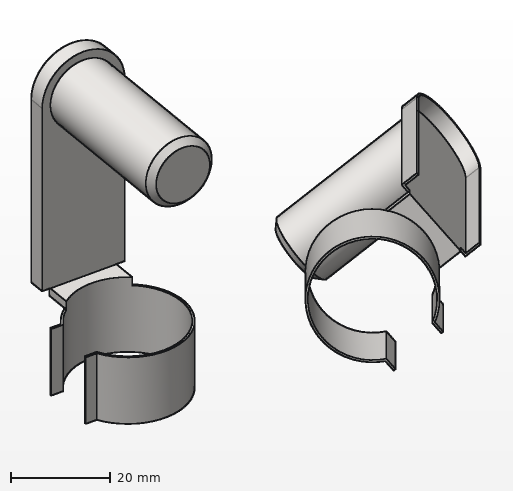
import cadquery as cq
import math

SHEET = 0.5

PLATE_WIDTH = 20.0
PLATE_DEPTH = 4.0
PLATE_DROP = 44.0
PLATE_RADIUS = PLATE_WIDTH / 2
WEB_X = PLATE_DEPTH - SHEET

PIN_DIAMETER = 16.0
PIN_TIP_X = 40.0
PIN_CHAMFER = 1.5

TAB_WIDTH = 16.0
TAB_HEIGHT = 2.0

CLIP_X = 20.0
CLIP_HEIGHT = 16.0
CLIP_RADIUS = 13.5
CLIP_INNER_RADIUS = CLIP_RADIUS - SHEET
CLIP_GAP = 12.0
CLIP_LEG_END_Y = -14.45

CLIP_TOP_Z = -PLATE_DROP - TAB_HEIGHT
CLIP_BOTTOM_Z = CLIP_TOP_Z - CLIP_HEIGHT


def round_topped_slab(radius, depth):
    """Slab with a semicircular top, extruded from X = 0 toward +X."""
    return (
        cq.Workplane("YZ")
        .moveTo(-radius, -PLATE_DROP)
        .lineTo(radius, -PLATE_DROP)
        .lineTo(radius, 0)
        .threePointArc((0, radius), (-radius, 0))
        .close()
        .extrude(depth)
    )


def make_plate():
    """Tray with a thin rim around its sides and top and a thin web as its floor."""
    outside = round_topped_slab(PLATE_RADIUS, PLATE_DEPTH)
    cavity = round_topped_slab(PLATE_RADIUS - SHEET, WEB_X)
    return outside.cut(cavity)


def make_pin():
    """Solid pin standing on the web, chamfered at its free end."""
    return (
        cq.Workplane("YZ", origin=(WEB_X, 0, 0))
        .circle(PIN_DIAMETER / 2)
        .extrude(PIN_TIP_X - WEB_X)
        .faces(">X")
        .chamfer(PIN_CHAMFER)
    )


def make_tab():
    """Tab from the web to the clip, ending flush with the clip's inner surface."""
    block = (
        cq.Workplane("XY", origin=(WEB_X, 0, CLIP_TOP_Z))
        .box(CLIP_X - WEB_X, TAB_WIDTH, TAB_HEIGHT, centered=(False, True, False))
    )
    bore = (
        cq.Workplane("XY", origin=(CLIP_X, 0, CLIP_TOP_Z))
        .circle(CLIP_INNER_RADIUS)
        .extrude(TAB_HEIGHT)
    )
    return block.cut(bore)


def make_clip():
    """Open ring and legs of one sheet thickness, as a single profile."""
    inner_x = CLIP_GAP / 2
    outer_x = inner_x + SHEET
    inner_y = -math.sqrt(CLIP_INNER_RADIUS**2 - inner_x**2)
    outer_y = -math.sqrt(CLIP_RADIUS**2 - outer_x**2)
    return (
        cq.Workplane("XY", origin=(CLIP_X, 0, CLIP_BOTTOM_Z))
        .moveTo(-outer_x, CLIP_LEG_END_Y)
        .lineTo(-outer_x, outer_y)
        .threePointArc((0, CLIP_RADIUS), (outer_x, outer_y))
        .lineTo(outer_x, CLIP_LEG_END_Y)
        .lineTo(inner_x, CLIP_LEG_END_Y)
        .lineTo(inner_x, inner_y)
        .threePointArc((0, CLIP_INNER_RADIUS), (-inner_x, inner_y))
        .lineTo(-inner_x, CLIP_LEG_END_Y)
        .close()
        .extrude(CLIP_HEIGHT)
    )


result = make_plate().union(make_pin()).union(make_tab()).union(make_clip())